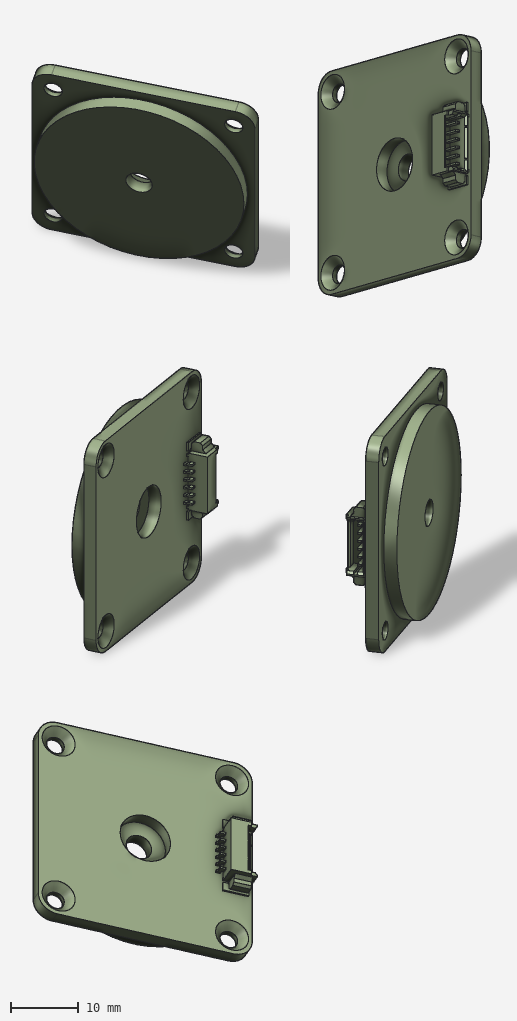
import cadquery as cq

plate_side = 34.0
plate_thickness = 2.05
plate_corner_radius = 3.0
mount_hole_spacing = 27.55
mount_hole_diameter = 2.8
countersink_diameter = 5.25
countersink_depth = (countersink_diameter - mount_hole_diameter) / 2
plate_bore_diameter = 8.0

disc_diameter = 32.0
disc_thickness = 2.0
disc_gap = 0.48
centre_hole_diameter = 4.0

plate_front_y = disc_thickness + disc_gap
plate_back_y = plate_front_y + plate_thickness

housing_height = 3.45
housing_standoff = 0.25
housing_width = 9.18
housing_front_x = -16.55
housing_rear_x = -12.25

step_x = -15.5
step_height = 3.05
roof_setback = 0.5

cavity_width = 7.9
cavity_floor_height = 0.6
cavity_depth = 3.5
side_lead_in = 0.4
floor_lead_in = 0.27
roof_lead_in = 0.2
lead_in_depth = 0.35

side_slot_low = 1.43
side_slot_high = 2.05
floor_rib_offset = 2.48
floor_rib_width = 0.25

runner_inner_z = 4.0
runner_width = 0.37

ear_front_x = -16.0
ear_rear_x = -13.2
ear_outline = [
    (4.42, 2.85), (5.1, 2.15), (5.78, 2.15), (6.15, 1.77),
    (6.15, 0.68), (5.78, 0.3), (5.78, 0.1), (4.42, 0.1),
]
tab_front_x = -16.32
tab_inner_z = 4.9
tab_outer_z = 6.25
tab_thickness = 0.27

contact_count = 6
contact_pitch = 1.25
contact_width = 0.3
pin_low = 1.0
pin_high = 1.7
pin_length = 2.6
pin_tip_chamfer = 0.15
tail_low = 0.6
tail_high = 1.33
leg_front_x = -11.85
leg_rear_x = -11.4
foot_rear_x = -11.15
foot_thickness = 0.4


def block(x_range, height_range, z_range):
    """Box between two X values, two heights above the plate's back face and two Z values."""
    (x0, x1), (h0, h1), (z0, z1) = x_range, height_range, z_range
    corner = (x0, plate_back_y + h0, z0)
    return cq.Workplane("XY").box(x1 - x0, h1 - h0, z1 - z0, centered=False).translate(corner)


def cylinder_along_y(diameter, y_start, length, centres):
    """Cylinders pointing along +Y at the given (x, z) centres."""
    plane = cq.Workplane(cq.Plane(origin=(0, y_start, 0), xDir=(1, 0, 0), normal=(0, -1, 0)))
    return plane.pushPoints(centres).circle(diameter / 2).extrude(-length)


def make_disc():
    disc = cylinder_along_y(disc_diameter, 0, disc_thickness, [(0, 0)])
    return disc.cut(cylinder_along_y(centre_hole_diameter, 0, disc_thickness, [(0, 0)]))


def make_countersink(x, z):
    """Cone that widens a mounting hole toward the plate's back face."""
    return cq.Workplane(
        cq.Solid.makeCone(
            mount_hole_diameter / 2,
            countersink_diameter / 2,
            countersink_depth,
            cq.Vector(x, plate_back_y - countersink_depth, z),
            cq.Vector(0, 1, 0),
        )
    )


def make_plate():
    plate = (
        cq.Workplane("XY")
        .box(plate_side, plate_thickness, plate_side)
        .edges("|Y")
        .fillet(plate_corner_radius)
        .translate((0, plate_front_y + plate_thickness / 2, 0))
    )
    offset = mount_hole_spacing / 2
    corners = [(x, z) for x in (-offset, offset) for z in (-offset, offset)]
    plate = plate.cut(cylinder_along_y(mount_hole_diameter, plate_front_y, plate_thickness, corners))
    for x, z in corners:
        plate = plate.cut(make_countersink(x, z))
    return plate.cut(
        cylinder_along_y(plate_bore_diameter, plate_front_y, plate_thickness, [(0, 0)])
    )


def tapered_mouth(front_x, front_section, back_section):
    """Frustum behind front_x; each section is (half width, lower height, upper height)."""
    sections = []
    for x, (half_width, low, high) in (
        (front_x, front_section),
        (front_x + lead_in_depth, back_section),
    ):
        plane = cq.Plane(
            origin=(x, plate_back_y + (low + high) / 2, 0), xDir=(0, 0, 1), normal=(-1, 0, 0)
        )
        sections.append(cq.Workplane(plane).rect(2 * half_width, high - low).val())
    return cq.Workplane(cq.Solid.makeLoft(sections, True))


def make_cavity():
    """Pocket open toward -X with tapered entries at its sides, floor and roof."""
    half = cavity_width / 2
    back_x = housing_front_x + cavity_depth
    roof_front_x = step_x + roof_setback
    pocket = block((housing_front_x, back_x), (cavity_floor_height, step_height), (-half, half))
    open_top = block((housing_front_x, roof_front_x), (step_height, housing_height), (-half, half))
    mouth = tapered_mouth(
        housing_front_x,
        (half + side_lead_in, cavity_floor_height - floor_lead_in, step_height),
        (half, cavity_floor_height, step_height),
    )
    roof_mouth = tapered_mouth(
        roof_front_x,
        (half, cavity_floor_height, step_height + roof_lead_in),
        (half, cavity_floor_height, step_height),
    )
    slot_half = half + side_lead_in
    side_slots = block(
        (housing_front_x, back_x), (side_slot_low, side_slot_high), (-slot_half, slot_half)
    )
    return pocket.union(open_top).union(mouth).union(roof_mouth).union(side_slots)


def make_floor_rib(z):
    """Rib that carries the cavity floor level out to the front, across the tapered edge."""
    return block(
        (housing_front_x, housing_front_x + lead_in_depth),
        (housing_standoff, cavity_floor_height),
        (z - floor_rib_width / 2, z + floor_rib_width / 2),
    )


def make_ear(side):
    """Side ear, its solder tab and the foot under the side wall; side is +1 or -1 along Z."""
    outline = [(side * z, plate_back_y + height) for z, height in ear_outline]
    plane = cq.Plane(origin=(ear_rear_x, 0, 0), xDir=(0, 0, 1), normal=(-1, 0, 0))
    ear = cq.Workplane(plane).polyline(outline).close().extrude(ear_rear_x - ear_front_x)
    tab_z = sorted((side * tab_inner_z, side * tab_outer_z))
    runner_z = sorted((side * runner_inner_z, side * (runner_inner_z + runner_width)))
    tab = block((tab_front_x, housing_rear_x), (0, tab_thickness), tab_z)
    runner = block((housing_front_x, housing_rear_x), (0, housing_standoff), runner_z)
    return ear.union(tab).union(runner)


def make_contact(z):
    """Contact pin in the cavity and its bent tail behind the housing."""
    z_range = (z - contact_width / 2, z + contact_width / 2)
    cavity_back_x = housing_front_x + cavity_depth
    pin = (
        block((cavity_back_x - pin_length, cavity_back_x), (pin_low, pin_high), z_range)
        .faces("<X")
        .edges("|Z")
        .chamfer(pin_tip_chamfer)
    )
    arm = block((housing_rear_x, leg_rear_x), (tail_low, tail_high), z_range)
    leg = block((leg_front_x, leg_rear_x), (0, tail_high), z_range)
    foot = block((leg_front_x, foot_rear_x), (0, foot_thickness), z_range)
    return pin.union(arm).union(leg).union(foot)


def make_connector():
    half = housing_width / 2
    connector = block(
        (housing_front_x, housing_rear_x), (housing_standoff, housing_height), (-half, half)
    )
    connector = connector.cut(
        block((housing_front_x, step_x), (step_height, housing_height), (-half, half))
    )
    connector = connector.cut(make_cavity())
    for side in (-1, 1):
        connector = connector.union(make_floor_rib(side * floor_rib_offset))
        connector = connector.union(make_ear(side))
    for index in range(contact_count):
        z = (index - (contact_count - 1) / 2) * contact_pitch
        connector = connector.union(make_contact(z))
    return connector


disc = make_disc()
plate = make_plate()
connector = make_connector()

result = cq.Compound.makeCompound([disc.val(), plate.val(), connector.val()])